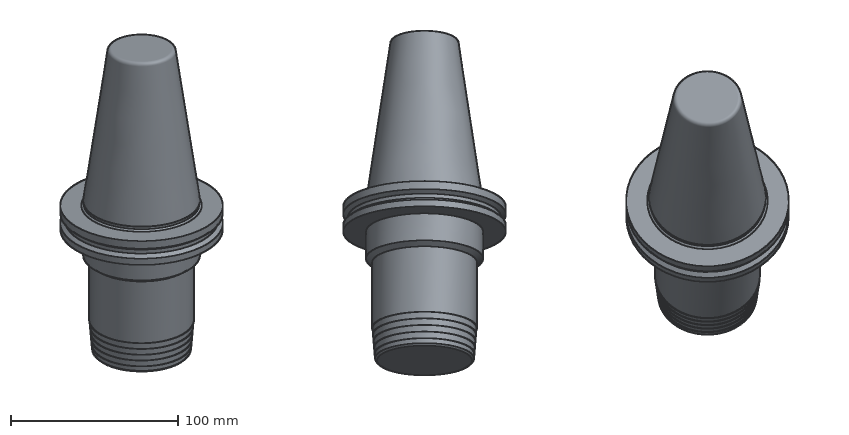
import cadquery as cq

total_height = 201.8

gauge_radius = 35.1
gauge_z = 100.0
taper_slope = 7 / 48
taper_top_radius = gauge_radius - taper_slope * (total_height - gauge_z)
tip_fillet = 2.5

neck_radius = 34.7
neck_shoulder = 0.5
neck_bottom_z = 98.0
neck_flare_radius = 36.1

flange_diameter = 97.5
flange_radius = flange_diameter / 2
flange_top_z = 97.0
flange_bottom_z = 81.1
groove_floor_radius = 46.0
groove_top_z = 92.0
groove_bottom_z = 85.3
groove_side_height = 2.0

collar_radius = gauge_radius
collar_bottom_z = 64.2
collar_chamfer_height = 2.6
sleeve_radius = 31.5

nose_steps = 5
first_step_z = 20.4
band_height = 4.0
step_inset = 0.36
end_chamfer = 1.2

nose_points = []
for step in range(nose_steps):
    step_z = first_step_z - step * band_height
    nose_points.append((sleeve_radius - step * step_inset, step_z))
    nose_points.append((sleeve_radius - (step + 1) * step_inset, step_z))
nose_end_radius = sleeve_radius - nose_steps * step_inset
nose_points.append((nose_end_radius, end_chamfer))
nose_points.append((nose_end_radius - end_chamfer, 0))

taper_points = [
    (0, total_height),
    (taper_top_radius, total_height),
    (gauge_radius, gauge_z),
]
neck_points = [
    (neck_radius, gauge_z - neck_shoulder),
    (neck_radius, neck_bottom_z),
    (neck_flare_radius, flange_top_z),
]
flange_points = [
    (flange_radius, flange_top_z),
    (flange_radius, groove_top_z),
    (groove_floor_radius, groove_top_z - groove_side_height),
    (groove_floor_radius, groove_bottom_z + groove_side_height),
    (flange_radius, groove_bottom_z),
    (flange_radius, flange_bottom_z),
]
collar_points = [
    (collar_radius, flange_bottom_z),
    (collar_radius, collar_bottom_z),
    (sleeve_radius, collar_bottom_z - collar_chamfer_height),
]
profile = taper_points + neck_points + flange_points + collar_points + nose_points + [(0, 0)]

body = cq.Workplane("XZ").polyline(profile).close().revolve(360, (0, 0), (0, 1))

result = body.faces(">Z").edges().fillet(tip_fillet)